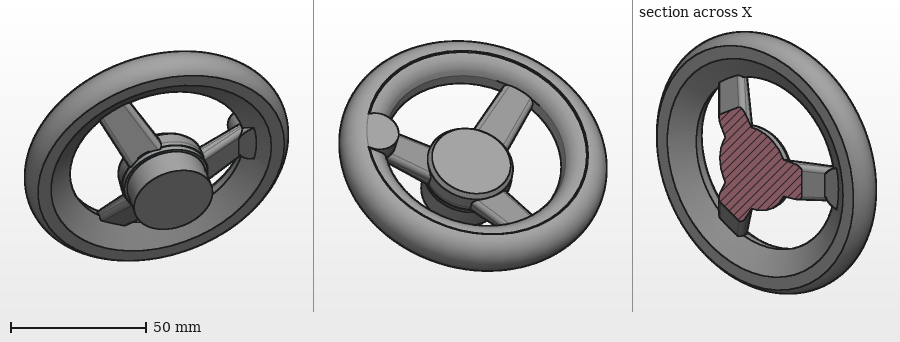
import cadquery as cq
import math

wheel_radius = 50.2
rim_section_radius = 8.5
rim_depth = 15.1
rim_bore_radius = 33.3
rim_bore_x = 9.1
rim_back_inner_radius = 42.2
rim_crest_radius = wheel_radius - rim_section_radius

recess_outer_radius = 41.2
recess_inner_radius = 34.2
recess_section_radius = 8.2

hub_face_x = 11.8
hub_face_radius = 14.8
hub_chamfer_end_x = 13.6
hub_front_radius = 16.1
hub_radius = 16.5
hub_cone_end_x = 18.1
collar_start_x = 20.0
collar_end_x = 22.0
collar_start_radius = 16.2
collar_end_radius = 32.0 / 2
boss_radius = 30.0 / 2
boss_end_x = 32.0

spoke_count = 3
spoke_inner_end = 13.1
spoke_outer_end = 35.7
spoke_back_start_x = 21.8
spoke_back_end_x = 9.0
spoke_front_start_x = 15.1
spoke_front_end_x = 4.2
spoke_start_width = 14.9
spoke_end_width = 12.9
spoke_edge_radius = 1.9

pad_center_y = 37.8
pad_radius = 8.2
pad_end_x = 11.9


def revolve_about_x(outline):
    return outline.close().revolve(360, (0, 0, 0), (1, 0, 0))


def front_point(section_radius, distance):
    """Front point, at a distance from the wheel axis, of a circle about the rim section centre."""
    offset = distance - rim_crest_radius
    return rim_section_radius - math.sqrt(section_radius**2 - offset**2), distance


def make_rim():
    center_to_back = rim_depth - rim_section_radius
    back_half_height = math.sqrt(rim_section_radius**2 - center_to_back**2)
    recess_middle = (recess_outer_radius + recess_inner_radius) / 2
    outline = (
        cq.Workplane("XY")
        .moveTo(0, rim_crest_radius)
        .threePointArc((rim_section_radius, wheel_radius), (rim_depth, rim_crest_radius + back_half_height))
        .lineTo(rim_depth, rim_back_inner_radius)
        .lineTo(rim_bore_x, rim_bore_radius)
        .lineTo(*front_point(recess_section_radius, recess_inner_radius))
        .threePointArc(
            front_point(recess_section_radius, recess_middle),
            front_point(recess_section_radius, recess_outer_radius),
        )
    )
    return revolve_about_x(outline)


def make_hub():
    outline = cq.Workplane("XY").polyline([
        (hub_face_x, 0),
        (hub_face_x, hub_face_radius),
        (hub_chamfer_end_x, hub_front_radius),
        (hub_cone_end_x, hub_radius),
        (collar_start_x, hub_radius),
        (collar_start_x, collar_start_radius),
        (collar_end_x, collar_end_radius),
        (collar_end_x, boss_radius),
        (boss_end_x, boss_radius),
        (boss_end_x, 0),
    ])
    return revolve_about_x(outline)


def make_spoke():
    side_outline = (
        cq.Workplane("XY")
        .polyline([
            (spoke_back_start_x, spoke_inner_end),
            (spoke_back_end_x, spoke_outer_end),
            (spoke_front_end_x, spoke_outer_end),
            (spoke_front_start_x, spoke_inner_end),
        ])
        .close()
        .extrude(spoke_start_width / 2, both=True)
    )
    front_outline = (
        cq.Workplane("YZ")
        .polyline([
            (spoke_inner_end, -spoke_start_width / 2),
            (spoke_outer_end, -spoke_end_width / 2),
            (spoke_outer_end, spoke_end_width / 2),
            (spoke_inner_end, spoke_start_width / 2),
        ])
        .close()
        .extrude(boss_end_x)
    )
    bar = side_outline.intersect(front_outline)
    return bar.edges("not(|X or |Z)").fillet(spoke_edge_radius)


def make_pad():
    pad = cq.Workplane("YZ").center(pad_center_y, 0).circle(pad_radius).extrude(pad_end_x)
    inside_crest = cq.Workplane("YZ").circle(rim_crest_radius).extrude(pad_end_x)
    return pad.intersect(inside_crest)


result = make_rim().union(make_hub()).union(make_pad())
for i in range(spoke_count):
    result = result.union(make_spoke().rotate((0, 0, 0), (1, 0, 0), i * 360 / spoke_count))